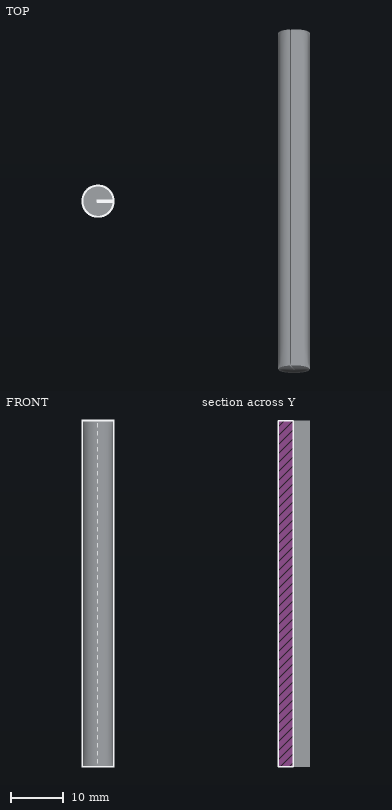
import cadquery as cq

length = 66.0
diameter = 6.0
slit_width = 0.25

radius = diameter / 2
slit_start = -slit_width / 2

rod = cq.Workplane("XY").circle(radius).extrude(length)

slit = (
    cq.Workplane("XY")
    .box(diameter, slit_width, length, centered=(False, True, False))
    .translate((slit_start, 0, 0))
)

result = rod.cut(slit)